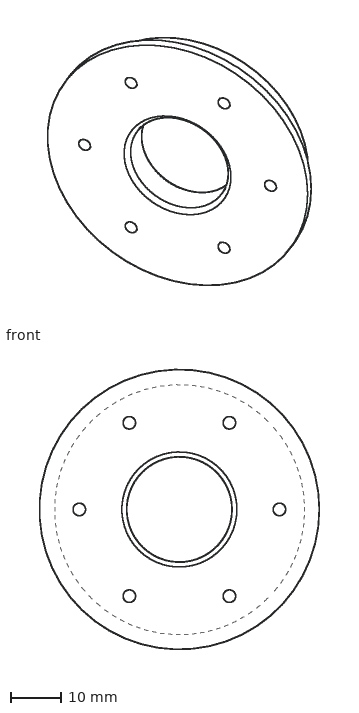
import cadquery as cq
import math

flange_diameter = 56.0
flange_thickness = 2.0
hub_diameter = 50.0
total_depth = 8.0

bore_diameter = 21.0
bore_chamfer = 1.0

hole_count = 6
hole_circle_radius = 20.0
hole_diameter = 2.5
hole_depth = 6.0
drill_tip_angle = 118.0


def revolve_about_y(profile):
    """Turn a closed (radius, depth) profile about the Y axis."""
    return cq.Workplane("XY").polyline(profile).close().revolve(360, (0, 0, 0), (0, 1, 0))


def make_body():
    """Flange with its front face at Y = 0, the hub, and the bore chamfered at both ends."""
    bore_radius = bore_diameter / 2
    flange_radius = flange_diameter / 2
    hub_radius = hub_diameter / 2
    return revolve_about_y([
        (bore_radius + bore_chamfer, 0),
        (flange_radius, 0),
        (flange_radius, flange_thickness),
        (hub_radius, flange_thickness),
        (hub_radius, total_depth),
        (bore_radius + bore_chamfer, total_depth),
        (bore_radius, total_depth - bore_chamfer),
        (bore_radius, bore_chamfer),
    ])


def make_drill():
    """Blind hole with a conical drill tip, running along +Y from the flange face."""
    radius = hole_diameter / 2
    tip_length = radius / math.tan(math.radians(drill_tip_angle / 2))
    return revolve_about_y([
        (0, 0),
        (radius, 0),
        (radius, hole_depth),
        (0, hole_depth + tip_length),
    ])


def cut_screw_holes(body):
    """Cut the evenly spaced ring of holes, the first one on the +X axis."""
    drill = make_drill()
    for index in range(hole_count):
        angle = 2 * math.pi * index / hole_count
        x = hole_circle_radius * math.cos(angle)
        z = hole_circle_radius * math.sin(angle)
        body = body.cut(drill.translate((x, 0, z)))
    return body


result = cut_screw_holes(make_body())